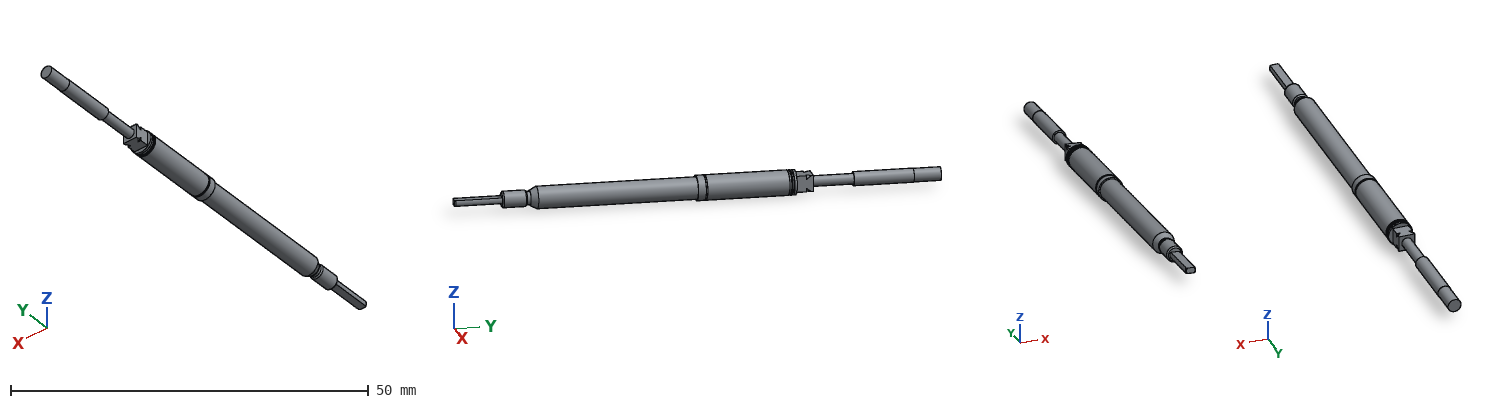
import cadquery as cq
import math


total_length = 69.5
collar_start = 6.8
collar_end = 10.35
barrel_cone_start = 10.85
barrel_start = 11.8
body_start = 34.6
body_end = 48.7
neck_start = 51.15
sleeve_start = 57.05
sleeve_end_start = 65.6

blade_diameter = 1.5
blade_thickness = 0.8
collar_diameter = 2.35
undercut_diameter = 1.95
cone_small_diameter = 2.15
barrel_diameter = 3.2
body_diameter = 3.6
square_width = 2.35
neck_diameter = 1.5
sleeve_diameter = 2.0
sleeve_end_diameter = 1.95

blade_chamfer = 0.15
collar_chamfer = 0.2

notch_start = 50.2
notch_end = 50.9
notch_diameter = 2.7

cutter_margin = 0.7

marking_groove = (35.7, 0.2, 3.5)
rim_grooves = [
    (47.7, 0.3, 3.35),
    (48.1, 0.3, 2.9),
]


def cone(start, end, start_diameter, end_diameter):
    """Solid of revolution about Y whose diameter runs straight from start to end."""
    profile = [
        (0, start),
        (start_diameter / 2, start),
        (end_diameter / 2, end),
        (0, end),
    ]
    return cq.Workplane("XY").polyline(profile).close().revolve(360, (0, 0, 0), (0, 1, 0))


def cylinder(start, end, diameter):
    return cone(start, end, diameter, diameter)


def blade():
    """Round pin with two parallel flats and a chamfered tip."""
    pin = cylinder(0, collar_start, blade_diameter).faces("<Y").chamfer(blade_chamfer)
    flats = cq.Workplane("XY").box(
        blade_diameter, collar_start, blade_thickness, centered=(True, False, True)
    )
    return pin.intersect(flats)


def collar():
    body = cylinder(collar_start, collar_end, collar_diameter)
    return body.faces("<Y or >Y").chamfer(collar_chamfer)


def barrel():
    """Undercut behind the collar, then a cone opening to the long barrel."""
    undercut = cylinder(collar_end, barrel_cone_start, undercut_diameter)
    shoulder = cone(barrel_cone_start, barrel_start, cone_small_diameter, barrel_diameter)
    tube = cylinder(barrel_start, body_start, barrel_diameter)
    return undercut.union(shoulder).union(tube)


def grooved_body():
    body = cylinder(body_start, body_end, body_diameter)
    for start, width, floor_diameter in [marking_groove] + rim_grooves:
        ring = cylinder(start, start + width, body_diameter + cutter_margin)
        ring = ring.cut(cylinder(start, start + width, floor_diameter))
        body = body.cut(ring)
    return body


def square():
    """Square wrench section with a barbed notch turned into its four corners."""
    length = neck_start - body_end
    block = cq.Workplane("XY").box(square_width, length, square_width, centered=(True, False, True))
    block = block.translate((0, body_end, 0))
    corner_diameter = square_width * math.sqrt(2)
    notch = cylinder(notch_start, notch_end, corner_diameter + cutter_margin)
    notch = notch.cut(cone(notch_start, notch_end, notch_diameter, corner_diameter))
    return block.cut(notch)


def sleeve():
    """Thin neck, wider sleeve and its slightly slimmer end."""
    neck = cylinder(neck_start, sleeve_start, neck_diameter)
    tube = cylinder(sleeve_start, sleeve_end_start, sleeve_diameter)
    end = cylinder(sleeve_end_start, total_length, sleeve_end_diameter)
    return neck.union(tube).union(end)


result = blade()
for section in (collar(), barrel(), grooved_body(), square(), sleeve()):
    result = result.union(section)